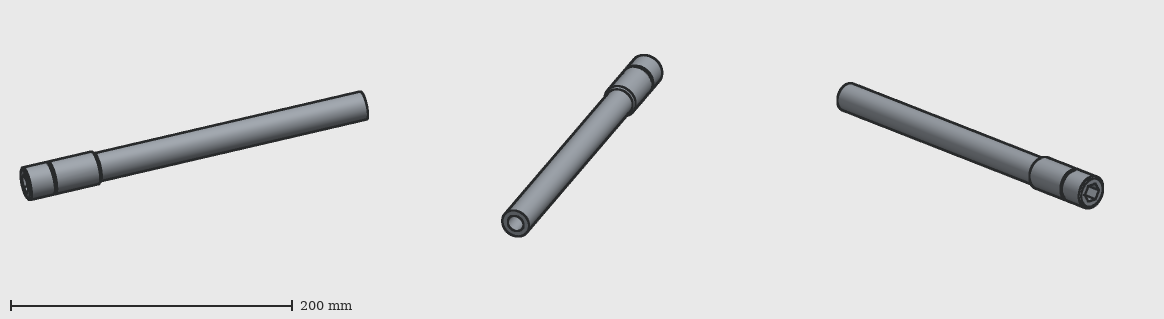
import cadquery as cq
import math

total_length = 254.0
head_diameter = 24.0
shank_diameter = 20.5
neck_diameter = 21.3
hex_across_flats = 12.0
bore_diameter = hex_across_flats

tip_length = 18.5
groove_width = 1.5
head_end = 54.0

end_chamfer_length = 1.0
end_chamfer_depth = 1.5
shoulder_length = 1.8

head_radius = head_diameter / 2
shank_radius = shank_diameter / 2
neck_radius = neck_diameter / 2
bore_radius = bore_diameter / 2
end_face_radius = head_radius - end_chamfer_depth
joint = tip_length + groove_width
hex_across_corners = hex_across_flats / math.cos(math.pi / 6)


def turned_solid(profile):
    """Revolve a closed (radius, distance along Y) profile around the Y axis."""
    return cq.Workplane("XY").polyline(profile).close().revolve(360, (0, 0, 0), (0, 1, 0))


def hexagonal_socket():
    """Prism through the tip, with corners on the X axis and flats above and below."""
    return cq.Workplane("XZ").polygon(6, hex_across_corners).extrude(-joint)


def make_tip():
    """Chamfered socket tip whose narrower neck forms the groove and butts against the shank."""
    blank = turned_solid([
        (0, 0),
        (end_face_radius, 0),
        (head_radius, end_chamfer_length),
        (head_radius, tip_length),
        (neck_radius, tip_length),
        (neck_radius, joint),
        (0, joint),
    ])
    return blank.cut(hexagonal_socket())


def make_shank():
    """Long round tube with a thicker head that tapers down to the tube at a conical shoulder."""
    return turned_solid([
        (bore_radius, joint),
        (head_radius, joint),
        (head_radius, head_end - shoulder_length),
        (shank_radius, head_end),
        (shank_radius, total_length),
        (bore_radius, total_length),
    ])


tip = make_tip()
shank = make_shank()

result = cq.Compound.makeCompound([tip.val(), shank.val()])